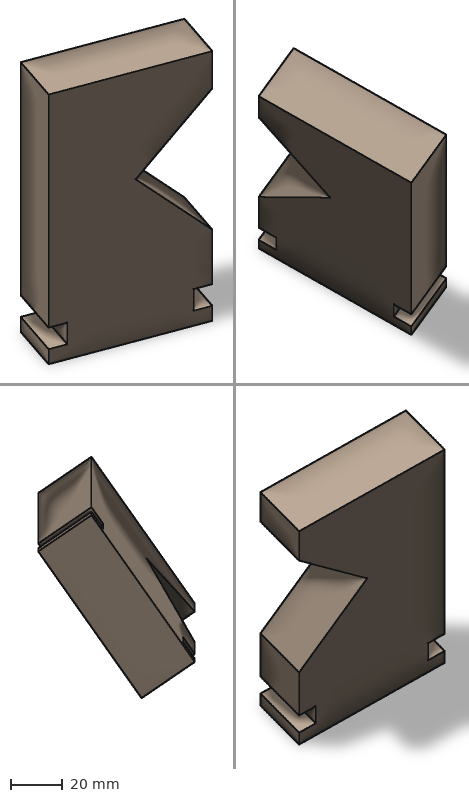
import cadquery as cq

thickness = 25.0
width = 70.0
height = 125.0

notch_depth = 32.8
notch_center_height = 75.0

foot_height = 7.0
slot_height = 10.0
slot_depth = 8.0


def make_block():
    return cq.Workplane("XY").box(thickness, width, height, centered=(True, True, False))


def make_notch():
    face_y = width / 2
    corners = [
        (face_y, notch_center_height - notch_depth),
        (face_y - notch_depth, notch_center_height),
        (face_y, notch_center_height + notch_depth),
    ]
    return cq.Workplane("YZ").polyline(corners).close().extrude(thickness / 2, both=True)


def make_slot(side):
    center_y = side * (width - slot_depth) / 2
    return (
        cq.Workplane("XY", origin=(0, center_y, foot_height))
        .box(thickness, slot_depth, slot_height, centered=(True, True, False))
    )


result = make_block().cut(make_notch())
for side in (-1, 1):
    result = result.cut(make_slot(side))